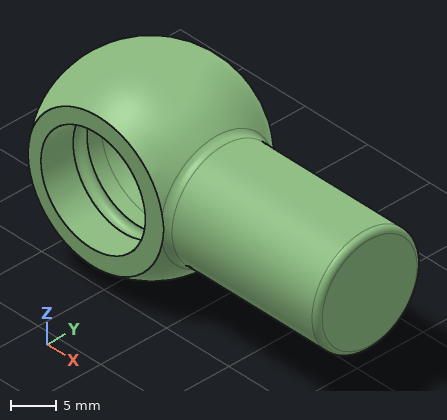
import cadquery as cq
import math

head_radius = 13.6
socket_radius = 8.0
face_distance = 8.79
face_tilt = 2.5

groove_radius = 1.05
groove_y = -3.2

shaft_radius = 8.0
shaft_end_x = 35.0
shaft_end_round = 0.8
neck_fillet = 1.58


def head_and_shaft():
    """Revolved body: sphere, neck fillet, shaft and rounded shaft end."""
    fillet_centre_r = shaft_radius + neck_fillet
    fillet_centre_x = math.sqrt((head_radius + neck_fillet) ** 2 - fillet_centre_r ** 2)
    sphere_share = head_radius / (head_radius + neck_fillet)
    neck_start = (fillet_centre_x * sphere_share, fillet_centre_r * sphere_share)
    neck_end = (fillet_centre_x, shaft_radius)

    profile = (
        cq.Workplane("XY")
        .moveTo(-head_radius, 0)
        .threePointArc((0, head_radius), neck_start)
        .radiusArc(neck_end, -neck_fillet)
        .lineTo(shaft_end_x - shaft_end_round, shaft_radius)
        .radiusArc((shaft_end_x, shaft_radius - shaft_end_round), shaft_end_round)
        .lineTo(shaft_end_x, 0)
        .close()
    )
    return profile.revolve(360, (0, 0, 0), (1, 0, 0))


def mouth_cutter():
    """Block under the head, its top lying on the tilted mouth face."""
    size = 2 * head_radius
    block = cq.Workplane("XY").box(size, size, size)
    block = block.translate((0, -face_distance - size / 2, 0))
    return block.rotate((0, 0, 0), (0, 0, 1), face_tilt)


def socket_cutter():
    """Revolved about Y: hemispherical seat, bore and half-round ring groove."""
    seat_middle = socket_radius * math.sqrt(0.5)
    groove_start_y = groove_y + groove_radius
    groove_end_y = groove_y - groove_radius

    profile = (
        cq.Workplane("XY")
        .moveTo(0, socket_radius)
        .threePointArc((seat_middle, seat_middle), (socket_radius, 0))
        .lineTo(socket_radius, groove_start_y)
        .threePointArc((socket_radius + groove_radius, groove_y), (socket_radius, groove_end_y))
        .lineTo(socket_radius, -head_radius)
        .lineTo(0, -head_radius)
        .close()
    )
    return profile.revolve(360, (0, 0, 0), (0, 1, 0))


result = head_and_shaft().cut(mouth_cutter()).cut(socket_cutter())